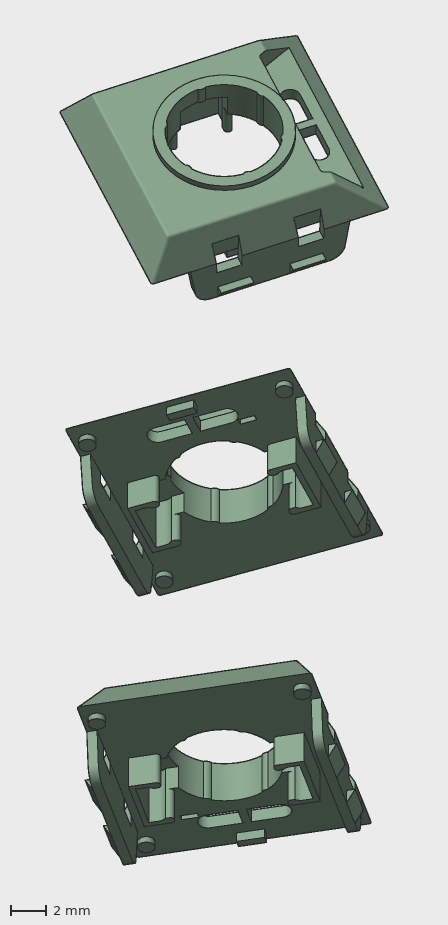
import cadquery as cq
import math

shell_height = 2.25
ring_height = 0.4
clip_depth = 3.0
ring_top = shell_height + ring_height

overall_width = 14.7
shell_width = 13.7
shell_depth = 14.6
base_x = shell_width / 2
base_y = shell_depth / 2
top_x = 5.65
top_front_y = -5.79
top_back_y = 4.54
edge_radius = 0.2

ring_diameter = 8.1
bore_radius = 3.35
rib_radius = 0.4
rib_reach = 3.26
rib_count = 6

recess_floor = 0.84
recess_front_y = ring_diameter / 2
recess_front_x = 4.59
recess_flare = 0.43
recess_corner_radius = 0.2
slot_width = 1.2
slot_inner_x = 0.25
slot_outer_x = 2.73
slot_y = 4.94
notch_size_x = 1.0
notch_size_y = 0.37
notch_x = -3.06

clip_thickness = 0.6
clip_inner_x = base_x - clip_thickness
clip_root_y = 4.9
clip_tip_y = 4.47
clip_corner_radius = 1.0
hook_height = 0.88
hook_inner_y = 1.2
hook_outer_y = 3.22
window_top = 1.15
window_bottom = -0.82
window_top_y = (1.69, 3.34)
window_bottom_y = (1.75, 3.28)

guide_depth = 2.05
guide_outer_x = 5.13
guide_inner_x = 4.79
guide_nose_x = 3.31
guide_nose_thickness = 0.5
guide_nose_y = 1.69
guide_nose_end_x = 3.78
guide_outer_y = guide_nose_y + guide_nose_thickness / 2
guide_throat_y = guide_nose_y - guide_nose_thickness / 2
guide_inner_y = 1.62
nose_fillet_length = 0.44
cavity_ceiling = 1.5

pin_diameter = 1.0
pin_height = 0.4
pin_x = 6.0
pin_y = 5.98
block_width = 1.65
block_thickness = 0.5
block_height = 0.6
block_y = 6.62


def box(x_range, y_range, z_range):
    """Axis-aligned box between pairs of limits."""
    (x0, x1), (y0, y1), (z0, z1) = x_range, y_range, z_range
    return cq.Workplane("XY").box(x1 - x0, y1 - y0, z1 - z0, centered=False).translate((x0, y0, z0))


def both_sides(body):
    """The body together with its mirror image across the YZ plane."""
    return body.union(body.mirror("YZ"))


def make_shell():
    top_depth = top_back_y - top_front_y
    top_centre_y = (top_back_y + top_front_y) / 2
    frustum = (
        cq.Workplane("XY")
        .rect(shell_width, shell_depth)
        .workplane(offset=shell_height)
        .center(0, top_centre_y)
        .rect(2 * top_x, top_depth)
        .loft(ruled=True)
    )
    return frustum.edges("not <Z").fillet(edge_radius)


def make_collar():
    return cq.Workplane("XY").circle(ring_diameter / 2).extrude(ring_top)


def make_bore():
    ribs = (
        cq.Workplane("XY")
        .polarArray(rib_reach + rib_radius, 0, 360, rib_count)
        .circle(rib_radius)
        .extrude(ring_top)
    )
    return cq.Workplane("XY").circle(bore_radius).extrude(ring_top).cut(ribs)


def make_recess():
    back_x = recess_front_x + recess_flare * (base_y - recess_front_y)
    outline = [
        (-recess_front_x, recess_front_y),
        (recess_front_x, recess_front_y),
        (back_x, base_y),
        (-back_x, base_y),
    ]
    return (
        cq.Workplane("XY", origin=(0, 0, recess_floor))
        .polyline(outline)
        .close()
        .extrude(shell_height - recess_floor)
        .edges("|Z and <Y")
        .fillet(recess_corner_radius)
    )


def make_recess_openings():
    end_radius = slot_width / 2
    end_x = slot_outer_x - end_radius
    slot = (
        cq.Workplane("XY")
        .moveTo(slot_inner_x, slot_y - end_radius)
        .lineTo(end_x, slot_y - end_radius)
        .threePointArc((slot_outer_x, slot_y), (end_x, slot_y + end_radius))
        .lineTo(slot_inner_x, slot_y + end_radius)
        .close()
        .extrude(shell_height)
    )
    notch = box(
        (notch_x - notch_size_x / 2, notch_x + notch_size_x / 2),
        (recess_front_y, recess_front_y + notch_size_y),
        (0, shell_height),
    )
    return both_sides(slot).union(notch)


def make_clip():
    """Hanging plate on the +X side with two wedge hooks at its lower edge."""
    outline = [
        (-clip_root_y, 0),
        (clip_root_y, 0),
        (clip_tip_y, -clip_depth),
        (-clip_tip_y, -clip_depth),
    ]
    plate = (
        cq.Workplane("YZ", origin=(clip_inner_x, 0, 0))
        .polyline(outline)
        .close()
        .extrude(clip_thickness)
        .edges("|X and <Z")
        .fillet(clip_corner_radius)
    )
    hook_top = hook_height - clip_depth
    hook_outline = [
        (clip_inner_x, hook_top),
        (overall_width / 2, hook_top),
        (base_x, -clip_depth),
        (clip_inner_x, -clip_depth),
    ]
    hook = (
        cq.Workplane("XZ", origin=(0, hook_outer_y, 0))
        .polyline(hook_outline)
        .close()
        .extrude(hook_outer_y - hook_inner_y)
    )
    return plate.union(hook).union(hook.mirror("XZ"))


def make_clip_windows():
    """Two openings on the +X side, through the clip and into the shell above it."""
    outline = [
        (window_bottom_y[0], window_bottom),
        (window_bottom_y[1], window_bottom),
        (window_top_y[1], window_top),
        (window_top_y[0], window_top),
    ]
    window = (
        cq.Workplane("YZ", origin=(clip_inner_x, 0, 0))
        .polyline(outline)
        .close()
        .extrude(clip_thickness)
    )
    return window.union(window.mirror("XZ"))


def make_guide():
    """Block with two round noses towards the bore on the +X side, before it is hollowed to a U."""
    nose_radius = guide_nose_thickness / 2
    nose_centre_x = guide_nose_x + nose_radius
    arm = (
        cq.Workplane("XY")
        .moveTo(guide_outer_x, guide_throat_y)
        .lineTo(nose_centre_x, guide_throat_y)
        .threePointArc((guide_nose_x, guide_nose_y), (nose_centre_x, guide_outer_y))
        .lineTo(guide_outer_x, guide_outer_y)
        .close()
        .extrude(-guide_depth)
    )
    plate = box((guide_inner_x, guide_outer_x), (-guide_outer_y, guide_outer_y), (-guide_depth, 0))
    return plate.union(arm).union(arm.mirror("XZ"))


def make_cavity():
    """Space inside the U, continued upward into the shell and widening behind the noses."""
    step = guide_inner_y - guide_throat_y
    fillet_radius = (nose_fillet_length**2 + step**2) / (2 * step)
    fillet_end_x = guide_nose_end_x + nose_fillet_length
    half_angle = math.atan2(step, nose_fillet_length)
    fillet_middle = (
        fillet_end_x - fillet_radius * math.sin(half_angle),
        guide_inner_y - fillet_radius * (1 - math.cos(half_angle)),
    )
    half = (
        cq.Workplane("XY", origin=(0, 0, -guide_depth))
        .lineTo(0, guide_throat_y)
        .lineTo(guide_nose_end_x, guide_throat_y)
        .threePointArc(fillet_middle, (fillet_end_x, guide_inner_y))
        .lineTo(guide_inner_x, guide_inner_y)
        .lineTo(guide_inner_x, 0)
        .close()
        .extrude(guide_depth + cavity_ceiling)
    )
    return half.union(half.mirror("XZ"))


def make_feet():
    pins = (
        cq.Workplane("XY")
        .rect(2 * pin_x, 2 * pin_y, forConstruction=True)
        .vertices()
        .circle(pin_diameter / 2)
        .extrude(-pin_height)
    )
    block = box(
        (-block_width / 2, block_width / 2),
        (block_y - block_thickness / 2, block_y + block_thickness / 2),
        (-block_height, 0),
    )
    return pins.union(block)


body = make_shell().cut(make_recess()).cut(make_recess_openings())
body = body.union(make_collar()).union(both_sides(make_guide()))
body = body.cut(make_bore()).cut(both_sides(make_cavity()))
body = body.union(both_sides(make_clip())).cut(both_sides(make_clip_windows()))
result = body.union(make_feet())